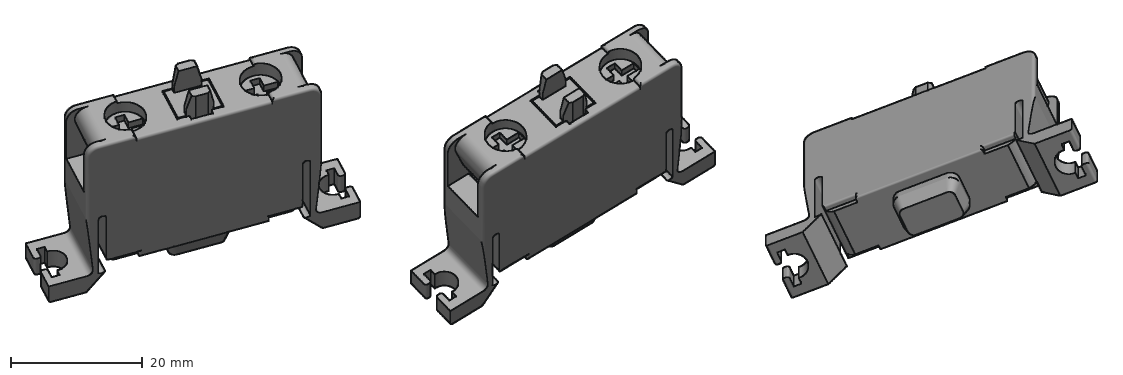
import cadquery as cq
import math

total_length = 50.6
total_height = 34.8
width = 9.8
half_width = width / 2

housing_half_length = 19.15
end_top_z = 30.8
middle_top_z = 30.35
housing_bottom_z = 4.55
top_corner_radius = 1.95
edge_radius = 0.45
ledge_y = 11.05

foot_height = 3.5
foot_bottom_start_y = 19.2
foot_edge_radius = 0.45
taper_top_z = 15.6
leg_root_y = 18.1
leg_root_z = 4.55
leg_fillet = 0.95
slot_outer_y = 17.2
slot_inner_y = 15.95
slot_top_z = 15.6
hook_tip_y = 16.1
hook_dip = 0.2

keyhole_radius = 2.1
keyhole_center_y = 22.65
wing_half_width = 3.2
wing_inner_y = 22.85
wing_outer_y = 24.15
mouth_half_width = 1.25
mouth_lip_radius = 0.4

bottom_corner_size = 1.55
bottom_corner_radius = 2.55
bottom_edge_radius = 0.3
relief_depth = 0.85
relief_start_y = 10.5
relief_top_z = 5.6

entry_half_width = 3.75
entry_floor_z = 20.7
entry_step_y = 15.15
deep_floor_z = 20.0
entry_back_y = 7.85
entry_ceiling_z = 23.75
ceiling_edge_y = 16.25
entry_lip_y = 15.7
entry_lip_radius = 2.05

screw_y = 11.0
screw_hole_radius = 3.2
screw_head_z = 28.3
cross_depth = 1.25
cross_x_length = 4.8
cross_x_width = 1.5
cross_y_length = 6.1
cross_y_width = 1.35

slider_half_x = 3.2
slider_half_y = 3.8
slider_gap = 0.2
gap_depth = 0.75
notch_half_x = 3.95
notch_half_y = 1.75
prong_inner_x = 2.2
prong_outer_x = 3.75
prong_half_y = 2.25
prong_top_half_y = 1.5
prong_flat_half_y = 1.0
prong_corner_x = 3.0
prong_taper_z = 31.8

plunger_half_x = 3.3
plunger_half_y = 5.4
plunger_draft = 0.85
plunger_taper_z = 3.0
plunger_bottom_z = 0.15
plunger_corner = 1.5
plunger_bottom_corner = 0.95

overlap = 0.5


def box(x0, x1, y0, y1, z0, z1):
    return cq.Workplane("XY").box(x1 - x0, y1 - y0, z1 - z0, centered=False).translate((x0, y0, z0))


def centered_box(half_x, half_y, z0, z1):
    return box(-half_x, half_x, -half_y, half_y, z0, z1)


def across(sketch, half_x):
    """Extrude a closed Y-Z outline evenly to both sides of the middle plane."""
    return sketch.extrude(half_x, both=True)


def both_ends(body):
    """The body at the +Y end together with its mirror image at the -Y end."""
    return body.union(body.mirror("XZ"))


def rounded_block(half_length, top_z):
    """Block with round upper corners and softened edges around both broad faces."""
    block = centered_box(half_width, half_length, foot_height, top_z)
    block = block.edges("|X and >Z").fillet(top_corner_radius)
    side_edges = block.faces("<X or >X").edges("not <Z")
    return block.newObject(side_edges.vals()).fillet(edge_radius)


def top_channel():
    """Space between the raised ends, whose ledges have rounded upper edges."""
    depth = end_top_z - middle_top_z
    outline = (
        cq.Workplane("YZ")
        .moveTo(-ledge_y, housing_bottom_z)
        .lineTo(ledge_y, housing_bottom_z)
        .lineTo(ledge_y, middle_top_z)
        .radiusArc((ledge_y + depth, end_top_z), depth)
        .lineTo(ledge_y + depth, end_top_z + overlap)
        .lineTo(-ledge_y - depth, end_top_z + overlap)
        .lineTo(-ledge_y - depth, end_top_z)
        .radiusArc((-ledge_y, middle_top_z), depth)
        .close()
    )
    return across(outline, width)


def leg_slot():
    """Round-topped slot between the housing and one leg."""
    slot_radius = (slot_outer_y - slot_inner_y) / 2
    shoulder_z = slot_top_z - slot_radius
    outline = (
        cq.Workplane("YZ")
        .moveTo(slot_inner_y, foot_height - overlap)
        .lineTo(slot_outer_y, foot_height - overlap)
        .lineTo(slot_outer_y, shoulder_z)
        .threePointArc((slot_inner_y + slot_radius, slot_top_z), (slot_inner_y, shoulder_z))
        .close()
    )
    return across(outline, width)


def underside():
    """Space below the housing, between the two legs, with the housing's round bottom corners."""
    corner_y = slot_inner_y - bottom_corner_size
    corner_z = housing_bottom_z + bottom_corner_size
    space = centered_box(width, slot_inner_y, foot_height - overlap, corner_z)
    housing_end = (
        cq.Workplane("YZ")
        .moveTo(-corner_y, housing_bottom_z)
        .lineTo(corner_y, housing_bottom_z)
        .radiusArc((slot_inner_y, corner_z), -bottom_corner_radius)
        .lineTo(slot_inner_y, corner_z + overlap)
        .lineTo(-slot_inner_y, corner_z + overlap)
        .lineTo(-slot_inner_y, corner_z)
        .radiusArc((-corner_y, housing_bottom_z), -bottom_corner_radius)
        .close()
    )
    return space.cut(across(housing_end, width + overlap)).union(both_ends(leg_slot()))


def leg_taper():
    """Space outside one leg, which thins toward the foot."""
    outline = (
        cq.Workplane("YZ")
        .moveTo(housing_half_length, taper_top_z)
        .lineTo(leg_root_y, leg_root_z)
        .lineTo(leg_root_y, -overlap)
        .lineTo(total_length / 2, -overlap)
        .lineTo(total_length / 2, taper_top_z)
        .close()
    )
    return across(outline, width)


def bottom_relief(side):
    inner_x = half_width - relief_depth
    relief = box(inner_x, width, relief_start_y, slot_inner_y + overlap, 0, relief_top_z)
    return relief if side > 0 else relief.mirror("YZ")


def lower_rim(side):
    """Selects the lower edges of one broad face: the bottom edge and the lips of its two reliefs."""
    margin = 0.05
    center_x = side * half_width
    return cq.selectors.BoxSelector(
        (center_x - margin, -slot_inner_y + margin, housing_bottom_z - margin),
        (center_x + margin, slot_inner_y - margin, relief_top_z + margin),
    )


def housing():
    raised = rounded_block(housing_half_length, end_top_z)
    middle = rounded_block(ledge_y + 2 * top_corner_radius, middle_top_z)
    body = raised.cut(top_channel()).union(middle)
    body = body.cut(underside()).cut(both_ends(leg_taper()))
    for side in (-1, 1):
        body = body.cut(both_ends(bottom_relief(side)))
    for side in (-1, 1):
        body = body.edges("|Y or |Z").edges(lower_rim(side)).fillet(bottom_edge_radius)
    return body


def keyhole():
    circle = cq.Workplane("XY").center(0, keyhole_center_y).circle(keyhole_radius).extrude(leg_root_z)
    circle = circle.cut(box(-width, width, wing_outer_y, total_length, 0, leg_root_z))
    wings = box(-wing_half_width, wing_half_width, wing_inner_y, wing_outer_y, 0, leg_root_z)
    mouth = box(-mouth_half_width, mouth_half_width, keyhole_center_y, total_length / 2, 0, leg_root_z)
    return circle.union(wings).union(mouth)


def foot_plan():
    """Upright block whose plan is the foot with its keyhole and rounded mouth lips."""
    end_y = total_length / 2
    plan = box(-half_width, half_width, slot_inner_y - overlap, end_y, 0, leg_root_z).cut(keyhole())
    lips = cq.selectors.BoxSelector(
        (-mouth_half_width - overlap, wing_outer_y - overlap, 0),
        (mouth_half_width + overlap, end_y + overlap, leg_root_z),
    )
    return plan.edges("|Z").edges(lips).fillet(mouth_lip_radius)


def foot():
    end_y = total_length / 2
    hook_middle_y = (slot_outer_y + hook_tip_y) / 2
    outline = (
        cq.Workplane("YZ")
        .moveTo(foot_bottom_start_y, 0)
        .lineTo(end_y, 0)
        .lineTo(end_y, foot_height)
        .lineTo(leg_root_y + leg_fillet, foot_height)
        .radiusArc((leg_root_y, foot_height + leg_fillet), leg_fillet)
        .lineTo(leg_root_y, leg_root_z)
        .lineTo(slot_outer_y, leg_root_z)
        .lineTo(slot_outer_y, foot_height)
        .threePointArc((hook_middle_y, foot_height - hook_dip), (hook_tip_y, foot_height))
        .close()
    )
    body = across(outline, half_width)
    body = body.edges("|X and >Y and <Z").fillet(foot_edge_radius)
    return body.intersect(foot_plan())


def entry_lip():
    """Lower end and middle of the lip arc, which runs tangent into the sloping ceiling."""
    center_z = end_top_z - entry_lip_radius
    to_center_y = entry_lip_y - ceiling_edge_y
    to_center_z = center_z - entry_ceiling_z
    distance = math.hypot(to_center_y, to_center_z)
    slope = math.atan2(to_center_z, to_center_y) - math.asin(entry_lip_radius / distance)

    def lip_point(angle):
        return (
            entry_lip_y + entry_lip_radius * math.cos(angle),
            center_z + entry_lip_radius * math.sin(angle),
        )

    lower_angle = slope - math.pi / 2
    middle_angle = (lower_angle + math.pi / 2) / 2
    return lip_point(lower_angle), lip_point(middle_angle)


def wire_entry():
    lip_lower, lip_middle = entry_lip()
    outside_y = housing_half_length + overlap
    outside_z = end_top_z + overlap
    outline = (
        cq.Workplane("YZ")
        .moveTo(outside_y, entry_floor_z)
        .lineTo(entry_step_y, entry_floor_z)
        .lineTo(entry_step_y, deep_floor_z)
        .lineTo(entry_back_y, deep_floor_z)
        .lineTo(entry_back_y, entry_ceiling_z)
        .lineTo(ceiling_edge_y, entry_ceiling_z)
        .lineTo(*lip_lower)
        .threePointArc(lip_middle, (entry_lip_y, end_top_z))
        .lineTo(entry_lip_y, outside_z)
        .lineTo(outside_y, outside_z)
        .close()
    )
    return across(outline, entry_half_width)


def screw_recess():
    hole = (
        cq.Workplane("XY", origin=(0, 0, screw_head_z))
        .circle(screw_hole_radius)
        .extrude(end_top_z - screw_head_z)
    )
    cross_z = screw_head_z - cross_depth
    cross_x = centered_box(cross_x_length / 2, cross_x_width / 2, cross_z, screw_head_z)
    cross_y = centered_box(cross_y_width / 2, cross_y_length / 2, cross_z, screw_head_z)
    return hole.union(cross_x).union(cross_y).translate((0, screw_y, 0))


def slider_gap_ring():
    bottom_z = middle_top_z - gap_depth
    opening = centered_box(slider_half_x, slider_half_y, bottom_z, middle_top_z)
    opening = opening.union(centered_box(notch_half_x, notch_half_y, bottom_z, middle_top_z))
    plate = centered_box(slider_half_x - slider_gap, slider_half_y - slider_gap, bottom_z, middle_top_z)
    return opening.cut(plate)


def prong():
    bottom_z = middle_top_z - gap_depth
    plan = (
        cq.Workplane("XY", origin=(0, 0, bottom_z))
        .moveTo(prong_inner_x, -prong_half_y)
        .lineTo(prong_corner_x, -prong_half_y)
        .lineTo(prong_outer_x, -prong_flat_half_y)
        .lineTo(prong_outer_x, prong_flat_half_y)
        .lineTo(prong_corner_x, prong_half_y)
        .lineTo(prong_inner_x, prong_half_y)
        .close()
        .extrude(total_height - bottom_z)
    )
    side_outline = (
        cq.Workplane("YZ")
        .moveTo(-prong_half_y, bottom_z)
        .lineTo(prong_half_y, bottom_z)
        .lineTo(prong_half_y, prong_taper_z)
        .lineTo(prong_top_half_y, total_height)
        .lineTo(-prong_top_half_y, total_height)
        .lineTo(-prong_half_y, prong_taper_z)
        .close()
    )
    return plan.intersect(across(side_outline, half_width))


def rounded_rectangle(half_x, half_y, radius):
    return cq.Sketch().rect(2 * half_x, 2 * half_y).vertices().fillet(radius)


def plunger():
    upper = rounded_rectangle(plunger_half_x, plunger_half_y, plunger_corner)
    lower = rounded_rectangle(
        plunger_half_x - plunger_draft, plunger_half_y - plunger_draft, plunger_bottom_corner
    )
    neck_length = housing_bottom_z + overlap - plunger_taper_z
    neck = cq.Workplane("XY", origin=(0, 0, plunger_taper_z)).placeSketch(upper).extrude(neck_length)
    tip_height = plunger_taper_z - plunger_bottom_z
    tip = (
        cq.Workplane("XY", origin=(0, 0, plunger_bottom_z))
        .placeSketch(lower, upper.moved(cq.Location(cq.Vector(0, 0, tip_height))))
        .loft()
    )
    return neck.union(tip)


right_prong = prong()

result = (
    housing()
    .union(both_ends(foot()))
    .cut(both_ends(wire_entry()))
    .cut(both_ends(screw_recess()))
    .cut(slider_gap_ring())
    .union(right_prong)
    .union(right_prong.mirror("YZ"))
    .union(plunger())
)